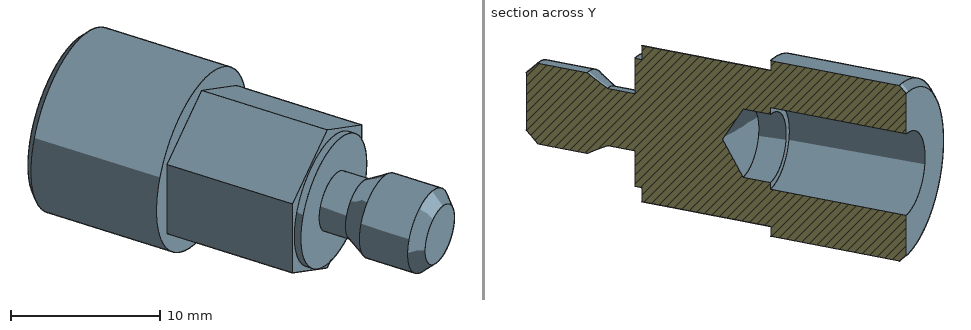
import cadquery as cq
import math


total_length = 28.0

head_diameter = 13.0
head_length = 10.0
head_chamfer = 0.5

hex_across_flats = 10.0
hex_length = 9.5
hex_half_sector = 30.0

collar_diameter = 9.5
collar_length = 0.5

neck_diameter = 4.25
neck_length = 2.0
flare_length = 1.5
stud_diameter = 6.0
stud_chamfer = (stud_diameter - neck_diameter) / 2

bore_diameter = stud_diameter
bore_depth = head_length
drill_diameter = 5.0
drill_depth = 12.0
drill_point_angle = 118.0

hex_end = head_length + hex_length
collar_end = hex_end + collar_length
neck_end = collar_end + neck_length
flare_end = neck_end + flare_length


def revolve_profile(points):
    """Revolve a closed (x, radius) outline about the X axis."""
    return cq.Workplane("XY").polyline(points).close().revolve(360, (0, 0, 0), (1, 0, 0))


def make_head():
    """Round head with its front rim chamfered."""
    head = cq.Workplane("YZ").circle(head_diameter / 2).extrude(head_length)
    return head.faces("<X").chamfer(head_chamfer)


def make_hexagon():
    """Hexagon with two flats facing -Y and +Y and two corners on the Z axis."""
    across_corners = hex_across_flats / math.cos(math.radians(hex_half_sector))
    base = cq.Workplane("YZ", origin=(head_length, 0, 0))
    hexagon = base.polygon(6, across_corners).extrude(hex_length)
    return hexagon.rotate((0, 0, 0), (1, 0, 0), hex_half_sector)


def make_stud():
    """Collar, neck, flare and chamfered stud as one turned shape."""
    neck_radius = neck_diameter / 2
    stud_radius = stud_diameter / 2
    return revolve_profile([
        (hex_end, 0),
        (hex_end, collar_diameter / 2),
        (collar_end, collar_diameter / 2),
        (collar_end, neck_radius),
        (neck_end, neck_radius),
        (flare_end, stud_radius),
        (total_length - stud_chamfer, stud_radius),
        (total_length, stud_radius - stud_chamfer),
        (total_length, 0),
    ])


def make_hole():
    """Cutter for the bore, the narrower drilled hole and its conical end."""
    drill_radius = drill_diameter / 2
    cone_length = drill_radius / math.tan(math.radians(drill_point_angle / 2))
    return revolve_profile([
        (0, 0),
        (0, bore_diameter / 2),
        (bore_depth, bore_diameter / 2),
        (bore_depth, drill_radius),
        (drill_depth, drill_radius),
        (drill_depth + cone_length, 0),
    ])


result = make_head().union(make_hexagon()).union(make_stud()).cut(make_hole())